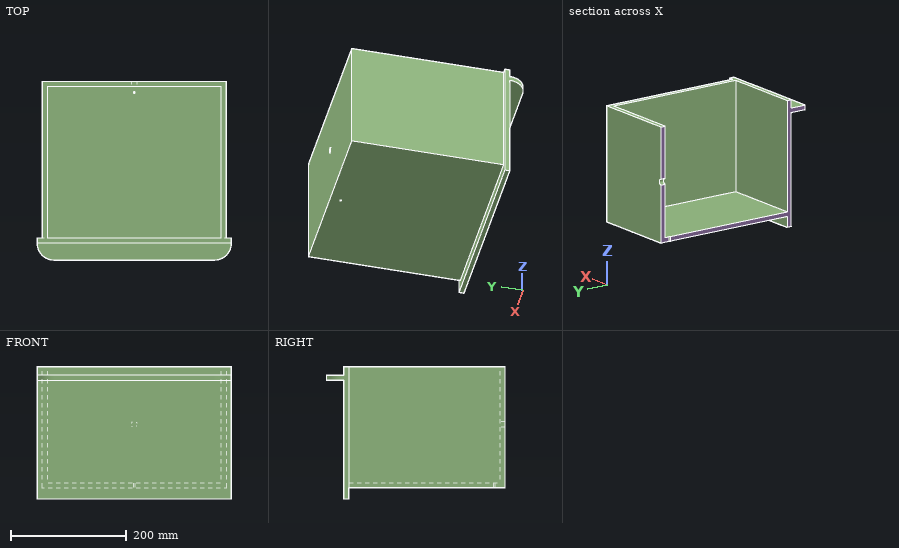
import cadquery as cq

panel_width = 337.0
panel_height = 230.0
overall_depth = 310.0

board = 9.0

handle_reach = 30.0
handle_drop = 15.0
handle_corner_radius = 29.5

panel_overhang = 9.0
panel_skirt = 19.5
box_width = panel_width - 2 * panel_overhang
box_depth = overall_depth - handle_reach - board
box_height = panel_height - panel_skirt
cavity_width = box_width - 2 * board
cavity_depth = box_depth - board
cavity_height = box_height - board

back_hole_diameter = 10.0
back_hole_height = 130.0
floor_hole_diameter = 2.5
floor_hole_from_back = 19.0



def block(width, depth, height, front_y, bottom_z):
    """Rectangular block centred on X, running back from front_y and up from bottom_z."""
    base = cq.Workplane("XY", origin=(0, front_y, bottom_z))
    return base.box(width, depth, height, centered=(True, False, False))


def make_box():
    """Box with an open top, whose front is closed by the front panel."""
    outside = block(box_width, box_depth, box_height, 0, panel_skirt)
    cavity = block(cavity_width, cavity_depth, cavity_height, 0, panel_skirt + board)
    return outside.cut(cavity)


def make_front_panel():
    """Panel that closes the box and stands out past its sides and underside."""
    return block(panel_width, board, panel_height, -board, 0)


def make_handle():
    """Full-width shelf with its two free corners rounded."""
    handle_bottom = panel_height - handle_drop - board
    shelf = block(panel_width, handle_reach, board, -board - handle_reach, handle_bottom)
    return shelf.edges("|Z and <Y").fillet(handle_corner_radius)


def make_back_hole():
    """Horizontal cutter through the back wall."""
    wall_outside = cq.Workplane("XZ", origin=(0, box_depth, back_hole_height))
    return wall_outside.circle(back_hole_diameter / 2).extrude(board)


def make_floor_hole():
    """Vertical cutter through the floor, near the back wall."""
    underside = cq.Workplane("XY", origin=(0, box_depth - floor_hole_from_back, panel_skirt))
    return underside.circle(floor_hole_diameter / 2).extrude(board)


drawer = make_box().union(make_front_panel()).union(make_handle())
result = drawer.cut(make_back_hole()).cut(make_floor_hole())